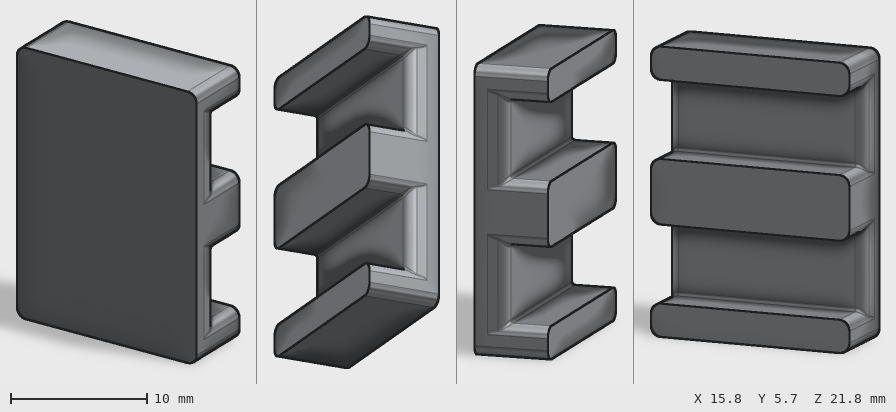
import cadquery as cq
import math

width = 15.8
depth = 5.7
height = 21.8
edge_radius = 0.8

slot_floor = 2.53
slot_height = 5.93
end_wall = 2.5
corner_radius = 0.25

step_front = 1.0
step_lean = math.radians(5)

slot_centers = [sign * (height / 2 - end_wall - slot_height / 2) for sign in (-1, 1)]
mouth_height = slot_height + 2 * edge_radius


def make_block():
    """Block with its front face at Y = 0 and its outer corners rounded."""
    block = cq.Workplane("XY").box(width, depth, height).translate((0, depth / 2, 0))
    return block.edges("|Y").fillet(edge_radius)


def make_wall_shape(center_z):
    """Slot outline through the width, flared where its walls round into the sides."""
    half_width = width / 2
    half_slot = slot_height / 2
    half_mouth = mouth_height / 2
    straight = half_width - edge_radius
    return (
        cq.Workplane("XZ")
        .center(0, center_z)
        .moveTo(-straight, half_slot)
        .lineTo(straight, half_slot)
        .radiusArc((half_width, half_mouth), -edge_radius)
        .lineTo(half_width, -half_mouth)
        .radiusArc((straight, -half_slot), -edge_radius)
        .lineTo(-straight, -half_slot)
        .radiusArc((-half_width, -half_mouth), -edge_radius)
        .lineTo(-half_width, half_mouth)
        .radiusArc((-straight, half_slot), -edge_radius)
        .close()
        .extrude(-depth)
    )


def make_floor_shape(center_z):
    """Space above the slot floor, its edge rounds and the sloped steps beside them."""
    half_width = width / 2
    round_start_y = slot_floor - edge_radius * (1 - math.sin(step_lean))
    round_start_x = half_width - (round_start_y - step_front) * math.tan(step_lean)
    floor_edge_x = round_start_x - edge_radius * math.cos(step_lean)
    return (
        cq.Workplane("XY")
        .workplane(offset=center_z - mouth_height / 2)
        .moveTo(-half_width, step_front)
        .lineTo(-round_start_x, round_start_y)
        .radiusArc((-floor_edge_x, slot_floor), edge_radius)
        .lineTo(floor_edge_x, slot_floor)
        .radiusArc((round_start_x, round_start_y), edge_radius)
        .lineTo(half_width, step_front)
        .lineTo(half_width, depth)
        .lineTo(-half_width, depth)
        .close()
        .extrude(mouth_height)
    )


def make_slot(center_z):
    """Slot cutter: the space above the floor inside the flared walls, corners rounded."""
    slot = make_wall_shape(center_z).intersect(make_floor_shape(center_z))
    return slot.faces("|Y").faces("<Y").edges("|X").fillet(corner_radius)


result = make_block()
for slot_center in slot_centers:
    result = result.cut(make_slot(slot_center))